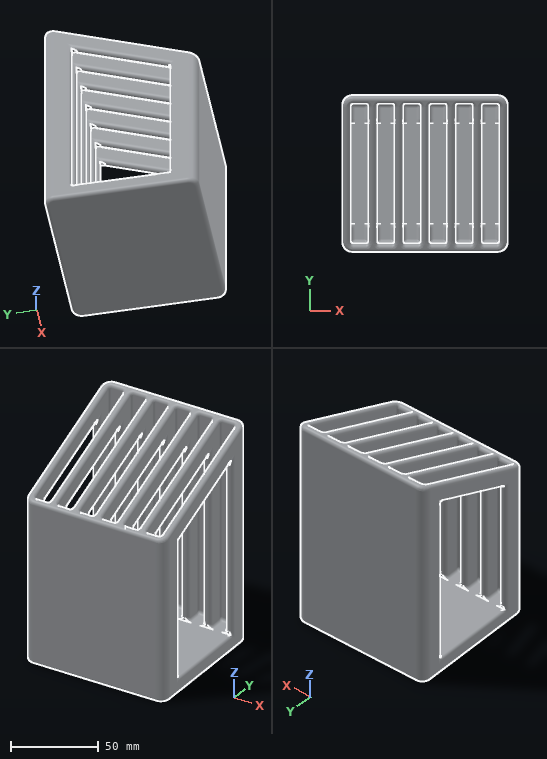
import cadquery as cq
import math

WIDTH = 95.0
DEPTH = 90.0
REAR_HEIGHT = 145.0
SLOPE_ANGLE = 23.0

WALL = 5.0
FLOOR = 10.2
SLOT_COUNT = 6

WINDOW_MARGIN = 16.2
WINDOW_ROOF_MARGIN = 12.0

FULL_ROUND_GAP = 0.001
EDGE_RADIUS = WALL / 2 - FULL_ROUND_GAP
OUTER_CORNER_RADIUS = 6.0
SLOT_CORNER_RADIUS = 1.3

TOLERANCE = 0.01
slope = math.radians(SLOPE_ANGLE)
pitch = (WIDTH - WALL) / SLOT_COUNT
slot_width = pitch - WALL
slot_depth = DEPTH - 2 * WALL
window_half_depth = DEPTH / 2 - WINDOW_MARGIN
window_roof_drop = WINDOW_ROOF_MARGIN / math.cos(slope)
roof_normal = cq.Vector(0, -math.sin(slope), math.cos(slope))


def roof_height(y):
    return REAR_HEIGHT + (y - DEPTH / 2) * math.tan(slope)


def house_prism(half_depth, bottom, roof_drop):
    """Full-width prism with upright front and rear and a top parallel to the roof."""
    return (
        cq.Workplane("YZ", origin=(-WIDTH / 2, 0, 0))
        .moveTo(-half_depth, bottom)
        .lineTo(half_depth, bottom)
        .lineTo(half_depth, roof_height(half_depth) - roof_drop)
        .lineTo(-half_depth, roof_height(-half_depth) - roof_drop)
        .close()
        .extrude(WIDTH)
    )


def near(a, b):
    return abs(a - b) < TOLERANCE


def on_floor(point):
    return near(point.z, FLOOR)


def on_window_upright(point):
    return near(abs(point.y), window_half_depth)


def on_window_top(point):
    return near(point.z, roof_height(point.y) - window_roof_drop)


def on_side_face(point):
    return near(abs(point.x), WIDTH / 2)


def all_points(edge, test):
    return all(test(edge.positionAt(t)) for t in (0, 0.5, 1))


def is_window_edge(edge):
    """Window outline on a panel face, including where the floor runs out through a side."""
    if abs(edge.tangentAt(0).x) > TOLERANCE:
        return False
    on_side_sill = all_points(edge, on_floor) and all_points(edge, on_side_face)
    return on_side_sill or all_points(edge, on_window_upright) or all_points(edge, on_window_top)


def round_edges(shape, test, radius):
    chosen = [edge for edge in shape.edges().vals() if test(edge)]
    return shape.newObject(chosen).fillet(radius)


def is_outer_window_edge(edge):
    return is_window_edge(edge) and all_points(edge, on_side_face)


def is_inner_window_or_floor_edge(edge):
    inside = abs(edge.Center().x) < WIDTH / 2 - EDGE_RADIUS - TOLERANCE
    return inside and (all_points(edge, on_floor) or is_window_edge(edge))


def is_slot_corner(edge):
    is_upright = near(abs(edge.tangentAt(0).z), 1)
    return is_upright and near(abs(edge.Center().y), slot_depth / 2)


body = house_prism(DEPTH / 2, 0, 0).edges("|Z").fillet(OUTER_CORNER_RADIUS)

slots = (
    cq.Workplane("XY", origin=(0, 0, FLOOR))
    .rarray(pitch, 1.5, SLOT_COUNT, 1)
    .rect(slot_width, slot_depth)
    .extrude(REAR_HEIGHT)
)
body = body.cut(slots)

body = body.cut(house_prism(window_half_depth, FLOOR, window_roof_drop))

body = round_edges(body, is_outer_window_edge, EDGE_RADIUS)
body = round_edges(body, is_inner_window_or_floor_edge, EDGE_RADIUS)
body = round_edges(body, is_slot_corner, SLOT_CORNER_RADIUS)

body = body.faces(cq.selectors.ParallelDirSelector(roof_normal)).edges().fillet(EDGE_RADIUS)
body = body.faces("<Z").edges().fillet(EDGE_RADIUS)

body = body.cut(house_prism(window_half_depth, FLOOR, window_roof_drop))

result = body